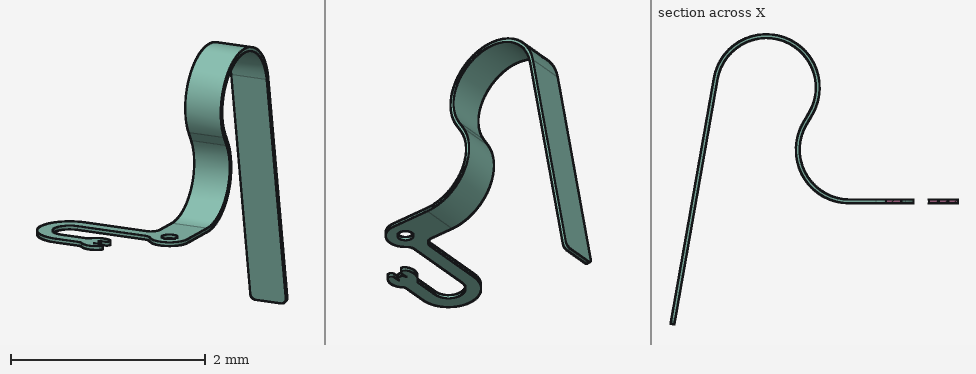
import cadquery as cq
import math

thickness = 0.042
strip_width = 0.408
half_width = strip_width / 2

lower_radius = 0.53
upper_radius = 0.527
lower_center = (0.453, lower_radius + thickness / 2)
upper_center = (1.305, 1.19)
tail_angle = 10.0
overall_height = 2.98
crown_radius = upper_radius + thickness / 2
inner_bend_radius = upper_radius - thickness / 2
tail_bottom_drop = overall_height - crown_radius
tail_tilt = math.radians(tail_angle)
tail_length = (tail_bottom_drop + inner_bend_radius * math.sin(tail_tilt)) / math.cos(tail_tilt)
tail_corner_radius = 0.06

hole_diameter = 0.165
arm_width = 0.16
arm_fillet = 0.1
hook_diameter = 0.67
hook_radius = hook_diameter / 2
overall_width = 1.56
hook_x = half_width - overall_width + hook_radius
hook_y = arm_width / 2 - hook_radius

hand_x = -0.585
hand_y = 2 * hook_y
hand_half_height = 0.152
finger_radius = 0.165
fingertip_radius = 0.04
wrist_fillet = 0.045
palm_diameter = 0.098
slit_half_height = palm_diameter / 2
finger_y = hand_half_height - finger_radius
wrist_run = math.sqrt(
    (finger_radius + wrist_fillet) ** 2 - (arm_width / 2 + wrist_fillet - finger_y) ** 2
)
wrist_x = hand_x - wrist_run


def polar(center, radius, degrees):
    angle = math.radians(degrees)
    return (center[0] + radius * math.cos(angle), center[1] + radius * math.sin(angle))


def strip_face(offset):
    """Points along one face of the bent strip; positive offset is outside the lower bend."""
    lower = lower_radius + offset
    upper = upper_radius - offset
    rise_y = upper_center[0] - lower_center[0]
    rise_z = upper_center[1] - lower_center[1]
    center_angle = math.degrees(math.atan2(rise_z, rise_y))
    spread = math.degrees(math.acos((lower + upper) / math.hypot(rise_y, rise_z)))
    normal_angle = center_angle - spread
    tail_start = polar(upper_center, upper, tail_angle)
    return {
        "start": polar(lower_center, lower, -90),
        "lower_mid": polar(lower_center, lower, (normal_angle - 90) / 2),
        "lower_end": polar(lower_center, lower, normal_angle),
        "upper_start": polar(upper_center, upper, normal_angle + 180),
        "upper_mid": polar(upper_center, upper, (normal_angle + 180 + tail_angle) / 2),
        "tail_start": tail_start,
        "tail_end": polar(tail_start, tail_length, tail_angle - 90),
    }


def make_bent_strip():
    near = strip_face(thickness / 2)
    far = strip_face(-thickness / 2)
    strip = (
        cq.Workplane("YZ", origin=(-half_width, 0, 0))
        .moveTo(*near["start"])
        .threePointArc(near["lower_mid"], near["lower_end"])
        .lineTo(*near["upper_start"])
        .threePointArc(near["upper_mid"], near["tail_start"])
        .lineTo(*near["tail_end"])
        .lineTo(*far["tail_end"])
        .lineTo(*far["tail_start"])
        .threePointArc(far["upper_mid"], far["upper_start"])
        .lineTo(*far["lower_end"])
        .threePointArc(far["lower_mid"], far["start"])
        .close()
        .extrude(strip_width)
    )
    return strip.faces("<Z").edges("not(|X)").fillet(tail_corner_radius)


def make_plate():
    """Strip end rounded about the hole, with the hooked arm leaving its left side."""
    arm_half = arm_width / 2
    inner_radius = hook_radius - arm_width
    blend_y = -arm_half - arm_fillet
    blend_x = -math.sqrt((half_width + arm_fillet) ** 2 - blend_y ** 2)
    blend_angle = math.degrees(math.atan2(-blend_y, -blend_x))
    blend = (blend_x, blend_y)
    corner = (-half_width - arm_fillet, arm_half + arm_fillet)
    return (
        cq.Workplane("XY")
        .moveTo(half_width, lower_center[0])
        .lineTo(-half_width, lower_center[0])
        .lineTo(-half_width, corner[1])
        .threePointArc(polar(corner, arm_fillet, -45), (corner[0], arm_half))
        .lineTo(hook_x, arm_half)
        .threePointArc((hook_x - hook_radius, hook_y), (hook_x, hook_y - hook_radius))
        .lineTo(wrist_x, hand_y - arm_half)
        .lineTo(wrist_x, hand_y + arm_half)
        .lineTo(hook_x, hand_y + arm_half)
        .threePointArc((hook_x - inner_radius, hook_y), (hook_x, -arm_half))
        .lineTo(blend_x, -arm_half)
        .threePointArc(polar(blend, arm_fillet, (90 + blend_angle) / 2),
                       polar(blend, arm_fillet, blend_angle))
        .threePointArc((0, -half_width), (half_width, 0))
        .close()
        .extrude(thickness)
        .cut(cq.Workplane("XY").circle(hole_diameter / 2).extrude(thickness))
    )


def make_finger():
    """Upper half of the hand, drawn about the hand axis."""
    arm_half = arm_width / 2
    finger = (hand_x, finger_y)
    wrist = (wrist_x, arm_half + wrist_fillet)
    wrist_angle = math.degrees(math.atan2(finger[1] - wrist[1], finger[0] - wrist[0]))
    tip_y = slit_half_height + fingertip_radius
    tip_run = math.sqrt((finger_radius - fingertip_radius) ** 2 - (tip_y - finger_y) ** 2)
    tip = (hand_x + tip_run, tip_y)
    tip_angle = math.degrees(math.atan2(tip_y - finger_y, tip_run))
    return (
        cq.Workplane("XY")
        .moveTo(wrist_x, 0)
        .lineTo(wrist_x, arm_half)
        .threePointArc(polar(wrist, wrist_fillet, (wrist_angle - 90) / 2),
                       polar(wrist, wrist_fillet, wrist_angle))
        .threePointArc((hand_x, hand_half_height), polar(finger, finger_radius, tip_angle))
        .threePointArc(polar(tip, fingertip_radius, (tip_angle - 90) / 2),
                       (tip[0], slit_half_height))
        .lineTo(hand_x, slit_half_height)
        .threePointArc(polar((hand_x, 0), slit_half_height, 45), (hand_x + slit_half_height, 0))
        .close()
        .extrude(thickness)
    )


def make_hand():
    finger = make_finger()
    return finger.union(finger.mirror("XZ")).translate((0, hand_y, 0))


result = make_plate().union(make_hand()).union(make_bent_strip())